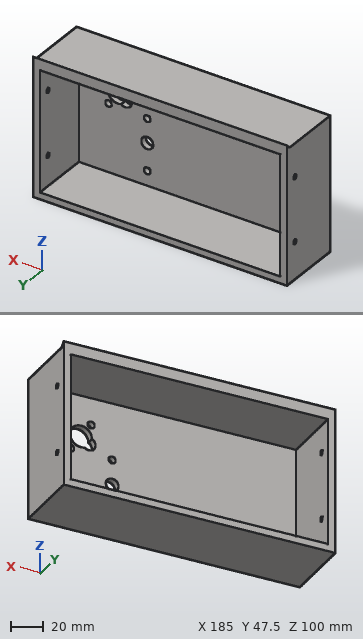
import cadquery as cq
import math

length = 185.0
depth = 47.5
total_height = 100.0
lip_size = 3.0
body_height = total_height - lip_size
wall = 5.0

side_hole_diameter = 3.1
side_hole_inset = 8.9
side_hole_spacing = 46.3
side_hole_middle_z = total_height / 2

screw_diameter = 4.6
row_x = 130.3
row_center_z = 35.3
row_center_diameter = 8.5
row_upper_z = 52.7
row_lower_z = 15.5

keyhole_x = 151.5
keyhole_z = 63.7
keyhole_diameter = 15.0
keyhole_slot_width = 8.9
keyhole_slot_reach = 6.7
keyhole_tilt = 35.5
keyhole_screw_spacing = 24.0


def front_cut(outline):
    """Turn circles or slots drawn on the front plane into a cutter for the front wall."""
    return outline.extrude(-wall)


def front_plane(x, z):
    """Workplane on the front face, centred at (x, z)."""
    return cq.Workplane("XZ", origin=(x, 0, z))


def make_shell():
    """Hollow box with a wedge-shaped lip along the top of its open back edge."""
    profile = [
        (0, 0),
        (depth, 0),
        (depth, total_height),
        (depth - lip_size, body_height),
        (0, body_height),
    ]
    outer = cq.Workplane("YZ").polyline(profile).close().extrude(length)
    cavity = cq.Workplane("XY").box(
        length - 2 * wall, depth - wall, body_height - 2 * wall, centered=False
    )
    return outer.cut(cavity.translate((wall, wall, wall)))


def side_holes():
    """Two holes near the back edge, running through both end walls."""
    half_spacing = side_hole_spacing / 2
    return (
        cq.Workplane("YZ", origin=(0, depth - side_hole_inset, side_hole_middle_z))
        .pushPoints([(0, -half_spacing), (0, half_spacing)])
        .circle(side_hole_diameter / 2)
        .extrude(length)
    )


def row_holes():
    """Vertical row of three round holes in the front wall."""
    holes = front_cut(front_plane(row_x, row_center_z).circle(row_center_diameter / 2))
    for z in (row_lower_z, row_upper_z):
        holes = holes.union(front_cut(front_plane(row_x, z).circle(screw_diameter / 2)))
    return holes


def keyhole():
    """Round opening with a narrower rounded slot, tilted down to the left."""
    tilt = math.radians(keyhole_tilt)
    slot_x = keyhole_x - keyhole_slot_reach / 2 * math.cos(tilt)
    slot_z = keyhole_z - keyhole_slot_reach / 2 * math.sin(tilt)
    slot = front_plane(slot_x, slot_z).slot2D(
        keyhole_slot_reach + keyhole_slot_width, keyhole_slot_width, keyhole_tilt
    )
    opening = front_plane(keyhole_x, keyhole_z).circle(keyhole_diameter / 2)
    return front_cut(opening).union(front_cut(slot))


def keyhole_screw_holes():
    """Screw holes on the line through the keyhole centre, square to its slot."""
    return front_cut(
        front_plane(keyhole_x, keyhole_z)
        .polarArray(keyhole_screw_spacing / 2, keyhole_tilt + 90, 360, 2)
        .circle(screw_diameter / 2)
    )


result = make_shell()
for cutter in (side_holes(), row_holes(), keyhole(), keyhole_screw_holes()):
    result = result.cut(cutter)